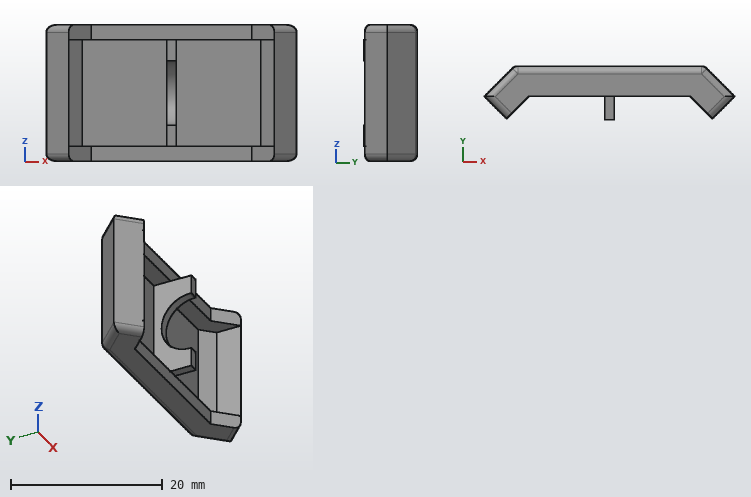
import cadquery as cq

width = 33.0
height = 18.0
plate_thickness = 4.0
end_depth = 2.95
edge_radius = 1.0

flange = 2.0
back_wall = 1.5
floor_half_width = 11.75

rib_thickness = 1.3
rib_reach = 3.1
clip_radius = 4.25
seat_center_depth = 2.9

half_width = width / 2
back_half_width = half_width - plate_thickness
tip_half_width = half_width - end_depth
inner_half_width = tip_half_width - end_depth
pocket_height = height - 2 * flange
floor_y = plate_thickness - back_wall
pocket_wall_y = floor_y - (tip_half_width - floor_half_width)


def symmetric_prism(right_side, prism_height):
    """Extrude a plan outline, given by its +X points, centred on Z = 0."""
    left_side = [(-x, y) for x, y in reversed(right_side)]
    outline = cq.Workplane("XY").polyline(right_side + left_side).close()
    return outline.extrude(prism_height / 2, both=True)


def make_bracket():
    """Bent plate with its back corners and its outer rims rounded."""
    plate = symmetric_prism(
        [
            (inner_half_width, 0),
            (tip_half_width, -end_depth),
            (half_width, 0),
            (back_half_width, plate_thickness),
        ],
        height,
    )
    back_corners = plate.edges("|Z").edges(">Y").vals()
    rims = plate.faces(">Y").edges("|X").vals()
    for direction in [(1, 1, 0), (-1, 1, 0), (1, -1, 0), (-1, -1, 0)]:
        slanted_face = plate.faces(cq.DirectionMinMaxSelector(cq.Vector(*direction)))
        rims += slanted_face.edges("#Z").vals()
    return plate.newObject(back_corners + rims).fillet(edge_radius)


def make_pocket():
    """Pocket open to the front, with a bent floor and side walls square to X."""
    return symmetric_prism(
        [
            (tip_half_width, -end_depth),
            (tip_half_width, pocket_wall_y),
            (floor_half_width, floor_y),
        ],
        pocket_height,
    )


def make_clip_rib():
    """Rib across the pocket with a half-round seat in its front edge."""
    rib_depth = floor_y + rib_reach
    rib = cq.Workplane("XY").box(rib_thickness, rib_depth, pocket_height)
    rib = rib.translate((0, floor_y - rib_depth / 2, 0))
    seat = (
        cq.Workplane("YZ", origin=(-rib_thickness / 2, 0, 0))
        .moveTo(-rib_reach, clip_radius)
        .lineTo(-seat_center_depth, clip_radius)
        .threePointArc((clip_radius - seat_center_depth, 0), (-seat_center_depth, -clip_radius))
        .lineTo(-rib_reach, -clip_radius)
        .close()
        .extrude(rib_thickness)
    )
    return rib.cut(seat)


result = make_bracket().cut(make_pocket()).union(make_clip_rib())